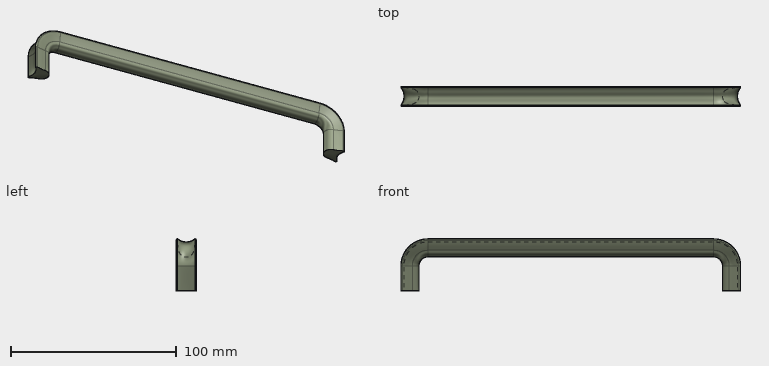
import cadquery as cq
import math

length = 204.96
width = 12.1
height = 31.48

section_depth = 11.0
groove_depth = 1.9
tip_radius = 1.55 / 2
back_radius = 4.6
back_depth = 4.1

outer_bend_radius = 16.4


def arc_middle(centre, radius, start, end):
    """Middle point of the short arc from start to end on the given circle."""
    mid_x = (start[0] + end[0]) / 2 - centre[0]
    mid_y = (start[1] + end[1]) / 2 - centre[1]
    stretch = radius / math.hypot(mid_x, mid_y)
    return (centre[0] + stretch * mid_x, centre[1] + stretch * mid_y)


def mirrored(point):
    """The same point on the other side of the section's symmetry axis."""
    return (point[0], -point[1])


def section_outline(outer_x):
    """Closed leg cross-section on the XY plane, tips at outer_x, back towards +X."""
    tip_centre = (outer_x + tip_radius, width / 2 - tip_radius)
    back_x = outer_x + section_depth
    back_centre_x = back_x - back_radius

    normal_x = 1 - back_depth / back_radius
    normal_y = math.sqrt(1 - normal_x**2)
    side_back = (back_centre_x + back_radius * normal_x, back_radius * normal_y)

    gap_x = side_back[0] - tip_centre[0]
    gap_y = side_back[1] - tip_centre[1]
    gap_along_normal = gap_x * normal_x + gap_y * normal_y
    side_radius = (gap_x**2 + gap_y**2 - tip_radius**2) / (2 * (tip_radius - gap_along_normal))
    side_centre = (side_back[0] + side_radius * normal_x, side_back[1] + side_radius * normal_y)
    tip_share = tip_radius / (side_radius + tip_radius)
    side_tip = (
        tip_centre[0] + tip_share * (side_centre[0] - tip_centre[0]),
        tip_centre[1] + tip_share * (side_centre[1] - tip_centre[1]),
    )
    side_middle = arc_middle(side_centre, side_radius, side_tip, side_back)

    groove_edge = (outer_x, tip_centre[1])
    tip_middle = arc_middle(tip_centre, tip_radius, groove_edge, side_tip)

    return (
        cq.Workplane("XY")
        .moveTo(*side_tip)
        .threePointArc(side_middle, side_back)
        .threePointArc((back_x, 0), mirrored(side_back))
        .threePointArc(mirrored(side_middle), mirrored(side_tip))
        .threePointArc(mirrored(tip_middle), mirrored(groove_edge))
        .threePointArc((outer_x + groove_depth, 0), groove_edge)
        .threePointArc(tip_middle, side_tip)
        .close()
    )


def handle_path():
    """Path along the outermost face: up one leg, along the grip and down the other leg."""
    half_length = length / 2
    bend_x = half_length - outer_bend_radius
    bend_z = height - outer_bend_radius
    arc_x = bend_x + outer_bend_radius * math.sqrt(0.5)
    arc_z = bend_z + outer_bend_radius * math.sqrt(0.5)
    return (
        cq.Workplane("XZ")
        .moveTo(-half_length, 0)
        .lineTo(-half_length, bend_z)
        .threePointArc((-arc_x, arc_z), (-bend_x, height))
        .lineTo(bend_x, height)
        .threePointArc((arc_x, arc_z), (half_length, bend_z))
        .lineTo(half_length, 0)
    )


result = section_outline(-length / 2).sweep(handle_path())